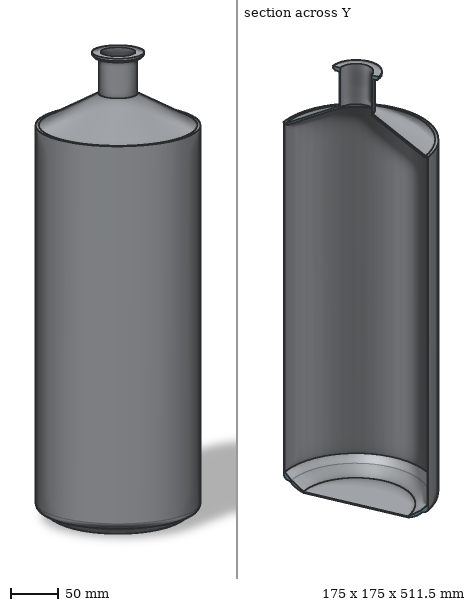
import cadquery as cq

height = 511.5
body_radius = 175.0 / 2
wall = 2.0

neck_radius = 41.0 / 2
bore_radius = neck_radius - wall
flange_radius = 55.0 / 2
flange_thickness = 5.0
flange_chamfer = 2.5
neck_bottom_z = 466.0

shoulder_z = 431.0
rim_width = 3.5
cone_radius = body_radius - rim_width

body_bottom_z = 18.0
dish_z = 10.0
dish_radius = 80.0
base_radius = 63.0
dish_bulge = 1.0
edge_bulge = 1.5


def revolve_profile(profile):
    """Turn a closed radius-height profile about the Z axis."""
    return profile.close().revolve(360, (0, 0, 0), (0, 1, 0))


def make_outside():
    flange_bottom_z = height - flange_thickness
    edge_mid = ((body_radius + dish_radius) / 2 + edge_bulge, (body_bottom_z + dish_z) / 2 - edge_bulge)
    dish_mid = ((dish_radius + base_radius) / 2 + dish_bulge, dish_z / 2 - dish_bulge)
    profile = (
        cq.Workplane("XZ")
        .lineTo(base_radius, 0)
        .threePointArc(dish_mid, (dish_radius, dish_z))
        .threePointArc(edge_mid, (body_radius, body_bottom_z))
        .lineTo(body_radius, shoulder_z)
        .lineTo(cone_radius, shoulder_z)
        .lineTo(neck_radius, neck_bottom_z)
        .lineTo(neck_radius, flange_bottom_z)
        .lineTo(flange_radius - flange_chamfer, flange_bottom_z)
        .lineTo(flange_radius, flange_bottom_z + flange_chamfer)
        .lineTo(flange_radius, height)
        .lineTo(0, height)
    )
    return revolve_profile(profile)


def make_cavity():
    """Inside of the thin-walled vessel, open through the neck."""
    profile = (
        cq.Workplane("XZ")
        .moveTo(0, wall)
        .lineTo(base_radius, wall)
        .lineTo(dish_radius - wall, dish_z + wall)
        .lineTo(body_radius - wall, body_bottom_z + wall)
        .lineTo(body_radius - wall, shoulder_z - wall)
        .lineTo(cone_radius - wall, shoulder_z - wall)
        .lineTo(bore_radius, neck_bottom_z - wall)
        .lineTo(bore_radius, height)
        .lineTo(0, height)
    )
    return revolve_profile(profile)


result = make_outside().cut(make_cavity())